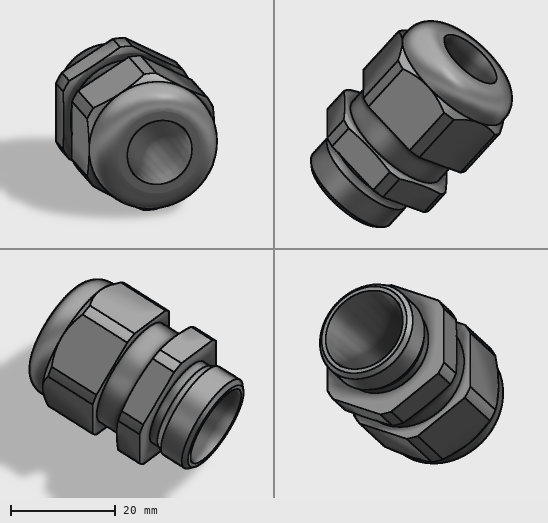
import cadquery as cq
import math

LENGTH = 37.0
ACROSS_FLATS = 25.0
FLAT_RADIUS = ACROSS_FLATS / 2
CORNER_RADIUS = 13.8

SPIGOT_RADIUS = 10.0
SPIGOT_CHAMFER = 0.85
SPIGOT_END = 5.75
NECK_RADIUS = 9.18
NECK_START = 7.18

BODY_HEX_START = 8.95
BODY_HEX_END = 14.35
BODY_CHAMFER_ANGLE = 15.0
COLLAR_RADIUS = 11.17

CAP_HEX_START = 19.98
CAP_HEX_END = 31.8
CAP_CHAMFER_ANGLE = 45.0
CAP_BAND_END = 32.7
DOME_RADIUS = LENGTH - CAP_BAND_END

BORE_ENTRY_RADIUS = 8.3
BORE_EXIT_RADIUS = 6.45


def revolve_about_x(half_profile):
    """Turn a closed (X, radius) half profile around the X axis."""
    return half_profile.close().revolve(360, (0, 0, 0), (1, 0, 0))


def make_hexagon(start, end, chamfer_angle):
    """Hexagonal prism with rounded corners and a conical chamfer on its +X end."""
    width = end - start
    across_corners = ACROSS_FLATS / math.cos(math.radians(30))
    prism = (
        cq.Workplane("YZ", origin=(start, 0, 0))
        .transformed(rotate=(0, 0, 90))
        .polygon(6, across_corners)
        .extrude(width)
    )
    chamfer_depth = (CORNER_RADIUS - FLAT_RADIUS) * math.tan(math.radians(chamfer_angle))
    envelope = revolve_about_x(
        cq.Workplane("XY")
        .moveTo(start, 0)
        .lineTo(start, CORNER_RADIUS)
        .lineTo(end - chamfer_depth, CORNER_RADIUS)
        .lineTo(end, FLAT_RADIUS)
        .lineTo(end, 0)
    )
    return prism.intersect(envelope)


def make_core():
    """Turned shape running through both hexagons, from spigot to dome."""
    return revolve_about_x(
        cq.Workplane("XY")
        .moveTo(0, 0)
        .lineTo(0, SPIGOT_RADIUS - SPIGOT_CHAMFER)
        .lineTo(SPIGOT_CHAMFER, SPIGOT_RADIUS)
        .lineTo(SPIGOT_END, SPIGOT_RADIUS)
        .lineTo(NECK_START, NECK_RADIUS)
        .lineTo(BODY_HEX_START, NECK_RADIUS)
        .lineTo(BODY_HEX_START, COLLAR_RADIUS)
        .lineTo(CAP_HEX_END, COLLAR_RADIUS)
        .lineTo(CAP_HEX_END, FLAT_RADIUS)
        .lineTo(CAP_BAND_END, FLAT_RADIUS)
        .radiusArc((LENGTH, FLAT_RADIUS - DOME_RADIUS), DOME_RADIUS)
        .lineTo(LENGTH, 0)
    )


def make_bore():
    """Conical through hole, narrowing towards the dome."""
    return revolve_about_x(
        cq.Workplane("XY")
        .moveTo(0, 0)
        .lineTo(0, BORE_ENTRY_RADIUS)
        .lineTo(LENGTH, BORE_EXIT_RADIUS)
        .lineTo(LENGTH, 0)
    )


body_hexagon = make_hexagon(BODY_HEX_START, BODY_HEX_END, BODY_CHAMFER_ANGLE)
cap_hexagon = make_hexagon(CAP_HEX_START, CAP_HEX_END, CAP_CHAMFER_ANGLE)
result = make_core().union(body_hexagon).union(cap_hexagon).cut(make_bore())